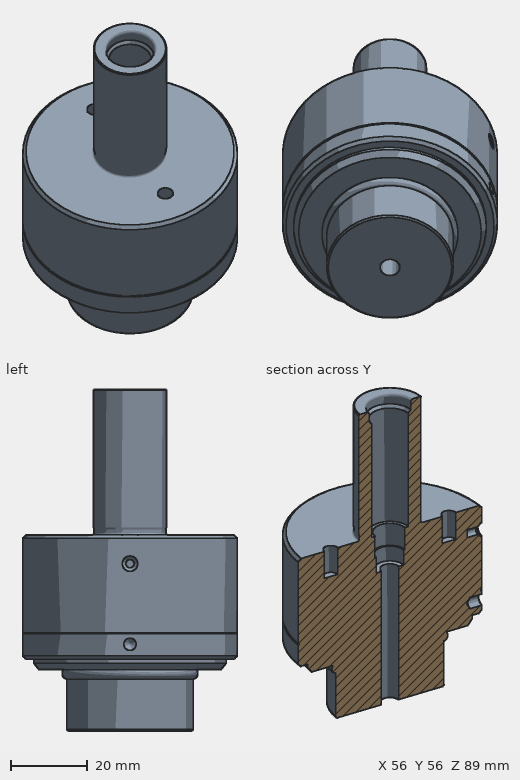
import cadquery as cq
import math

total_height = 89
spigot_top = 16
flange_edge_top = 17.7
body_bottom = 18.7
body_top = 51.1

body_radius = 56.0 / 2
flange_radius = 25.1
spigot_radius = 33.0 / 2
shaft_radius = 19.05 / 2
neck_radius = 18.8 / 2

body_chamfer = 0.9
flange_chamfer_run = 1.3
spigot_chamfer = 0.45
shaft_chamfer = 0.3

flare_radius = 0.6
neck_height = 0.8
neck_taper_height = 0.5
neck_bottom = body_top + flare_radius
neck_top = neck_bottom + neck_height

groove_level = 25.5
groove_size = 0.3

bead_outer_radius = 17.7
bead_root_radius = 17.35
bead_level = 14.95
bead_bottom = 13.5

mouth_rounding = 1.0
socket_radius = 12.5 / 2
bore_radius = 11.0 / 2
step_radius = 9.0 / 2
inner_step_radius = 8.2 / 2
through_radius = 5.2 / 2
mouth_bottom = total_height - mouth_rounding
socket_bottom = mouth_bottom - 2.1
seat_bottom = socket_bottom - 0.9
bore_bottom = body_top
step_bottom = 44.5
inner_step_bottom = 40.05

pin_hole_diameter = 4.0
pin_hole_offset = 18.0
pin_hole_depth = 8

port_level = 43.6
port_diameter = 2.1
port_depth = 4.45
port_mouth_diameter = 4.0
port_mouth_depth = 0.4
port_mouth_angle = 90
drilling_level = 22.6
drilling_diameter = 3.2
drilling_depth = 3.6
drill_point_angle = 118


def revolve_profile(profile):
    return profile.close().revolve(360, (0, 0, 0), (0, 1, 0))


def outer_body():
    profile = (
        cq.Workplane("XZ")
        .moveTo(0, 0)
        .lineTo(spigot_radius - spigot_chamfer, 0)
        .lineTo(spigot_radius, spigot_chamfer)
        .lineTo(spigot_radius, bead_bottom)
        .threePointArc((bead_outer_radius, bead_level), (bead_root_radius, spigot_top))
        .lineTo(flange_radius - flange_chamfer_run, spigot_top)
        .lineTo(flange_radius, flange_edge_top)
        .lineTo(flange_radius, body_bottom)
        .lineTo(body_radius - body_chamfer, body_bottom)
        .lineTo(body_radius, body_bottom + body_chamfer)
        .lineTo(body_radius, groove_level - groove_size / 2)
        .lineTo(body_radius - groove_size, groove_level - groove_size / 2)
        .lineTo(body_radius - groove_size, groove_level + groove_size / 2)
        .lineTo(body_radius, groove_level + groove_size / 2)
        .lineTo(body_radius, body_top - body_chamfer)
        .lineTo(body_radius - body_chamfer, body_top)
        .lineTo(neck_radius + flare_radius, body_top)
        .tangentArcPoint((neck_radius, neck_bottom), relative=False)
        .lineTo(neck_radius, neck_top)
        .lineTo(shaft_radius, neck_top + neck_taper_height)
        .lineTo(shaft_radius, total_height - shaft_chamfer)
        .lineTo(shaft_radius - shaft_chamfer, total_height)
        .lineTo(0, total_height)
    )
    return revolve_profile(profile)


def stepped_bore():
    profile = (
        cq.Workplane("XZ")
        .moveTo(0, 0)
        .lineTo(through_radius, 0)
        .lineTo(through_radius, inner_step_bottom)
        .lineTo(inner_step_radius, inner_step_bottom)
        .lineTo(inner_step_radius, step_bottom)
        .lineTo(step_radius, step_bottom)
        .lineTo(step_radius, bore_bottom)
        .lineTo(bore_radius, bore_bottom)
        .lineTo(bore_radius, seat_bottom)
        .lineTo(socket_radius, socket_bottom)
        .lineTo(socket_radius, mouth_bottom)
        .radiusArc((socket_radius + mouth_rounding, total_height), mouth_rounding)
        .lineTo(0, total_height)
    )
    return revolve_profile(profile)


def pin_holes():
    return (
        cq.Workplane("XY", origin=(0, 0, body_top))
        .pushPoints([(-pin_hole_offset, 0), (pin_hole_offset, 0)])
        .circle(pin_hole_diameter / 2)
        .extrude(-pin_hole_depth)
    )


def side_cylinder(diameter, depth, level):
    """Cylinder entering the -X side of the body, aimed at the axis."""
    return cq.Workplane("YZ", origin=(-body_radius, 0, level)).circle(diameter / 2).extrude(depth)


def pointed_hole(diameter, depth, point_angle, level):
    """Side hole with straight walls to the given depth, then a conical point."""
    radius = diameter / 2
    point_length = radius / math.tan(math.radians(point_angle / 2))
    point_base = cq.Vector(depth - body_radius, 0, level)
    point = cq.Solid.makeCone(radius, 0, point_length, point_base, cq.Vector(1, 0, 0))
    return side_cylinder(diameter, depth, level).union(cq.Workplane(point))


def side_port():
    mouth = pointed_hole(port_mouth_diameter, port_mouth_depth, port_mouth_angle, port_level)
    return mouth.union(side_cylinder(port_diameter, port_depth, port_level))


def side_drilling():
    return pointed_hole(drilling_diameter, drilling_depth, drill_point_angle, drilling_level)


result = (
    outer_body()
    .cut(stepped_bore())
    .cut(pin_holes())
    .cut(side_port())
    .cut(side_drilling())
)